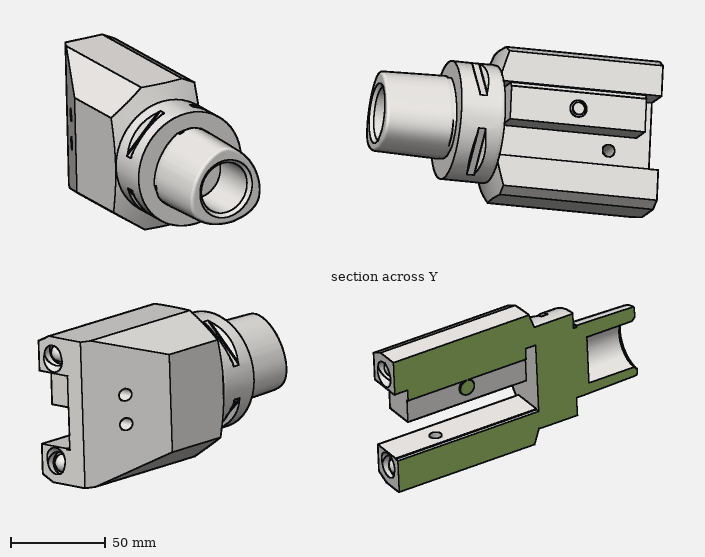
import cadquery as cq
import math

TILT = 2.65

BLOCK_FRONT = -112.0
BLOCK_HALF_HEIGHT = 40.0
BLOCK_TOP = 20.0
TOP_CHAMFER_Y = 7.4
TOP_CHAMFER_Z = 3.6
SIDE_CHAMFER_Y = 19.0
SIDE_CHAMFER_Z = 13.3
RAMP_LENGTH = 46.0
RAMP_ANGLE = 25.0
BACK_CONE_ANGLE = 20.0

FLANGE_DIAMETER = 63.0
FLANGE_LENGTH = 24.0
COLLAR_DIAMETER = 62.6
COLLAR_LENGTH = 2.0
GROOVE_CENTRE = -12.1
GROOVE_POSITIONS = (45, 135, 225, 315)
GROOVE_FLOOR_WIDTH = 4.0
GROOVE_DEPTH = 3.8
GROOVE_FLARE_DEPTH = 3.0
GROOVE_WALL_ANGLE = 30.0

SHANK_END = 38.0
SHANK_START = 3.0
SHANK_RADIUS = 22.1
SHANK_TAPER = 1 / 40
LOBES = 3
LOBE_SPAN = 2 * math.pi / LOBES
LOBE_HEIGHT = 1.45
SPLINE_STEPS = 12
SHANK_END_FILLET = 1.6
NECK_INSET = 0.1
NECK_END = 1.75
NECK_TURNED_RADIUS = 22.45
BORE_DIAMETER = 28.0
BORE_MOUTH_DIAMETER = 32.0
BORE_DEPTH = 30.0

CHANNEL_HALF_HEIGHT = 20.0
CHANNEL_FLOOR = 0.0
RELIEF_WIDTH = 2.0
RELIEF_DEPTH = 0.5

WEDGE_SIDE = 18.0
WEDGE_BOTTOM = 1.0
WEDGE_FRONT = -104.0
WEDGE_SCREW_X = -67.0
WEDGE_REAR = 2 * WEDGE_SCREW_X - WEDGE_FRONT
LEDGE_INSET = 1.2
LEDGE_BOTTOM_Z = 13.5
SCREW_DIAMETER = 9.0
SCREW_TOP = 19.6
SCREW_TIP_DIAMETER = 6.65
SCREW_TIP_TOP = 20.4

CROSS_HOLE_DIAMETER = 6.65
CROSS_HOLE_X = -89.5
CROSS_HOLE_Z = 8.0
FLOOR_HOLE_DIAMETER = 6.65
FLOOR_HOLE_X = -82.0
FLOOR_HOLE_DEPTH = 8.0
NOZZLE_Y = 10.0
NOZZLE_Z = 29.15
NOZZLE_ANGLE = 10.0
NOZZLE_DIAMETER = 12.0
NOZZLE_SEAT_DEPTH = 4.5
NOZZLE_PLUG_LENGTH = 8.0
COUNTERSINK_Z = 27.25
COUNTERSINK_DIAMETER = 13.0
COUNTERSINK_DEPTH = 3.5
BALL_DIAMETER = 10.0
BALL_SETBACK = 1.7

FLANGE_RADIUS = FLANGE_DIAMETER / 2


def box(x0, x1, y0, y1, z0, z1):
    return cq.Workplane("XY").box(x1 - x0, y1 - y0, z1 - z0, centered=False).translate((x0, y0, z0))


def rod(start, direction, radius, length):
    return cq.Workplane(cq.Solid.makeCylinder(radius, length, cq.Vector(*start), cq.Vector(*direction)))


def revolve_about_axis(profile):
    """Solid of revolution about X from (x, radius) points that start and end on the axis."""
    return cq.Workplane("XY").polyline(profile).close().revolve(360, (0, 0, 0), (1, 0, 0))


def make_block():
    h = BLOCK_HALF_HEIGHT
    bottom = -FLANGE_RADIUS
    half_section = [
        (bottom, h - SIDE_CHAMFER_Z),
        (bottom + SIDE_CHAMFER_Y, h),
        (BLOCK_TOP - TOP_CHAMFER_Y, h),
        (BLOCK_TOP, h - TOP_CHAMFER_Z),
    ]
    section = half_section + [(y, -z) for y, z in reversed(half_section)]
    length = -FLANGE_LENGTH - BLOCK_FRONT
    block = cq.Workplane("YZ", origin=(BLOCK_FRONT, 0, 0)).polyline(section).close().extrude(length)
    ramp_height = RAMP_LENGTH * math.tan(math.radians(RAMP_ANGLE))
    ramp = (
        cq.Workplane("XY", origin=(0, 0, -h))
        .polyline([
            (BLOCK_FRONT, bottom),
            (BLOCK_FRONT + RAMP_LENGTH, bottom),
            (BLOCK_FRONT, bottom + ramp_height),
        ])
        .close()
        .extrude(2 * h)
    )
    cone_radius = 2 * h
    cone_length = (cone_radius - COLLAR_DIAMETER / 2) * math.tan(math.radians(BACK_CONE_ANGLE))
    envelope = revolve_about_axis([
        (BLOCK_FRONT, 0),
        (BLOCK_FRONT, cone_radius),
        (-FLANGE_LENGTH - cone_length, cone_radius),
        (-FLANGE_LENGTH, COLLAR_DIAMETER / 2),
        (-FLANGE_LENGTH, 0),
    ])
    return block.cut(ramp).intersect(envelope)


def make_flange():
    collar_radius = COLLAR_DIAMETER / 2
    flange = revolve_about_axis([
        (-FLANGE_LENGTH, 0),
        (-FLANGE_LENGTH, collar_radius),
        (COLLAR_LENGTH - FLANGE_LENGTH, FLANGE_RADIUS),
        (0, FLANGE_RADIUS),
        (0, 0),
    ])
    floor = FLANGE_RADIUS - GROOVE_DEPTH
    flare = FLANGE_RADIUS - GROOVE_FLARE_DEPTH
    half_floor = GROOVE_FLOOR_WIDTH / 2
    half_mouth = half_floor + GROOVE_FLARE_DEPTH * math.tan(math.radians(GROOVE_WALL_ANGLE))
    groove = (
        cq.Workplane("XZ", origin=(GROOVE_CENTRE, FLANGE_RADIUS, 0))
        .polyline([
            (-half_floor, floor),
            (half_floor, floor),
            (half_floor, flare),
            (half_mouth, FLANGE_RADIUS),
            (-half_mouth, FLANGE_RADIUS),
            (-half_floor, flare),
        ])
        .close()
        .extrude(FLANGE_DIAMETER)
    )
    for angle in GROOVE_POSITIONS:
        flange = flange.cut(groove.rotate((0, 0, 0), (1, 0, 0), angle))
    return flange


def lobed_wire(x, radius):
    """Closed three-lobed curve with one lobe towards +Z, as one spline per lobe from hollow to hollow."""

    def point(angle):
        reach = radius + LOBE_HEIGHT * math.cos(LOBES * angle)
        slope = -LOBES * LOBE_HEIGHT * math.sin(LOBES * angle)
        up = reach * math.cos(angle) - slope * math.sin(angle)
        across = reach * math.sin(angle) + slope * math.cos(angle)
        return cq.Vector(x, across, up)

    def tangent(angle):
        return cq.Vector(0, math.cos(angle), -math.sin(angle))

    edges = []
    for lobe in range(LOBES):
        start = (2 * lobe - 1) * math.pi / LOBES
        angles = [start + i * LOBE_SPAN / SPLINE_STEPS for i in range(SPLINE_STEPS + 1)]
        ends = [tangent(angles[0]), tangent(angles[-1])]
        edges.append(cq.Edge.makeSpline([point(angle) for angle in angles], tangents=ends))
    return cq.Wire.assembleEdges(edges)


def lobed_solid(x0, radius0, x1, radius1):
    return cq.Workplane(cq.Solid.makeLoft([lobed_wire(x0, radius0), lobed_wire(x1, radius1)], True))


def make_shank():
    end_radius = SHANK_RADIUS - (SHANK_END - SHANK_START) * SHANK_TAPER
    neck_radius = SHANK_RADIUS - NECK_INSET
    taper = lobed_solid(SHANK_START, SHANK_RADIUS, SHANK_END, end_radius)
    taper = taper.faces(">X").edges().fillet(SHANK_END_FILLET)
    shoulder = lobed_solid(NECK_END, neck_radius, SHANK_START, SHANK_RADIUS)
    neck = lobed_solid(0, neck_radius, NECK_END, neck_radius)
    neck = neck.intersect(rod((0, 0, 0), (1, 0, 0), NECK_TURNED_RADIUS, NECK_END))
    return taper.union(shoulder).union(neck)


def cut_bore(body):
    mouth = BORE_MOUTH_DIAMETER / 2
    bore = BORE_DIAMETER / 2
    chamfer = mouth - bore
    tool = revolve_about_axis([
        (SHANK_END, 0),
        (SHANK_END, mouth),
        (SHANK_END - chamfer, bore),
        (SHANK_END - BORE_DEPTH, bore),
        (SHANK_END - BORE_DEPTH, 0),
    ])
    return body.cut(tool)


def cut_channel(body):
    h = CHANNEL_HALF_HEIGHT
    channel = box(BLOCK_FRONT, -FLANGE_LENGTH, CHANNEL_FLOOR, FLANGE_RADIUS, -h, h)
    relief = box(
        BLOCK_FRONT, -FLANGE_LENGTH, CHANNEL_FLOOR, CHANNEL_FLOOR + RELIEF_WIDTH, -h - RELIEF_DEPTH, -h
    )
    return body.cut(channel).cut(relief)


def cut_small_holes(body):
    for z in (CROSS_HOLE_Z, -CROSS_HOLE_Z):
        start = (CROSS_HOLE_X, -FLANGE_RADIUS, z)
        body = body.cut(rod(start, (0, 1, 0), CROSS_HOLE_DIAMETER / 2, FLANGE_RADIUS + CHANNEL_FLOOR))
    start = (FLOOR_HOLE_X, NOZZLE_Y, -CHANNEL_HALF_HEIGHT)
    return body.cut(rod(start, (0, 0, -1), FLOOR_HOLE_DIAMETER / 2, FLOOR_HOLE_DEPTH))


def add_nozzle(body, side):
    """Inclined plug with a ball behind a countersunk mouth; side is +1 above the channel, -1 below it."""
    mouth_radius = COUNTERSINK_DIAMETER / 2
    countersink = cq.Workplane(
        cq.Solid.makeCone(
            mouth_radius,
            mouth_radius - COUNTERSINK_DEPTH,
            COUNTERSINK_DEPTH,
            cq.Vector(BLOCK_FRONT, NOZZLE_Y, side * COUNTERSINK_Z),
            cq.Vector(1, 0, 0),
        )
    )
    angle = math.radians(NOZZLE_ANGLE)
    inward = cq.Vector(math.cos(angle), 0, side * math.sin(angle))
    seat = cq.Vector(BLOCK_FRONT, NOZZLE_Y, side * NOZZLE_Z) + inward * NOZZLE_SEAT_DEPTH
    radius = NOZZLE_DIAMETER / 2
    bore = rod(seat.toTuple(), (-inward).toTuple(), radius, NOZZLE_DIAMETER)
    plug = rod(seat.toTuple(), inward.toTuple(), radius, NOZZLE_PLUG_LENGTH)
    ball = cq.Workplane("XY").sphere(BALL_DIAMETER / 2).translate(seat + inward * BALL_SETBACK)
    return body.cut(countersink).cut(bore).union(plug).union(ball)


def add_wedge(body):
    top = WEDGE_BOTTOM + WEDGE_SIDE
    wedge = box(WEDGE_FRONT, WEDGE_REAR, WEDGE_BOTTOM, top, 0, WEDGE_SIDE)
    ledge_top = top - LEDGE_INSET
    ledge = box(WEDGE_FRONT, WEDGE_REAR, CHANNEL_FLOOR, ledge_top, LEDGE_BOTTOM_Z, CHANNEL_HALF_HEIGHT)
    base = (WEDGE_SCREW_X, CHANNEL_FLOOR, WEDGE_SIDE / 2)
    screw = rod(base, (0, 1, 0), SCREW_DIAMETER / 2, SCREW_TOP - CHANNEL_FLOOR)
    tip = rod(base, (0, 1, 0), SCREW_TIP_DIAMETER / 2, SCREW_TIP_TOP - CHANNEL_FLOOR)
    return body.union(wedge).union(ledge).union(screw).union(tip)


body = make_block()
body = cut_channel(body)
body = cut_small_holes(body)
for side in (1, -1):
    body = add_nozzle(body, side)
body = add_wedge(body)
body = body.union(make_flange()).union(make_shank())
body = cut_bore(body)
result = body.rotate((0, 0, 0), (0, 1, 0), -TILT)